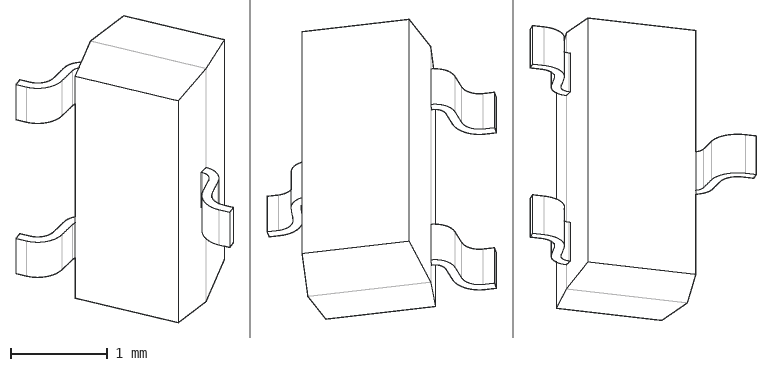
import cadquery as cq
import math

BODY_WIDTH = 1.3
BODY_LENGTH = 2.9
BACK_DEPTH = 0.682
FRONT_DEPTH = 0.568
DRAFT = 7.0

SPAN = 2.4
STANDOFF = 0.102
THICKNESS = 0.102
LEAD_WIDTH = 0.438
LEAD_PITCH = 1.915
LEG_ANGLE = 7.0
SHOULDER_RADIUS = 0.218
FOOT_RADIUS = 0.19


def body_half(depth):
    """Frustum growing from the parting plane; negative depth goes toward -Y."""
    sign = math.copysign(1, depth)
    plane = cq.Plane(origin=(0, 0, 0), xDir=(1, 0, 0), normal=(0, sign, 0))
    return cq.Workplane(plane).rect(BODY_WIDTH, BODY_LENGTH).extrude(abs(depth), taper=DRAFT)


def make_body():
    return body_half(BACK_DEPTH).union(body_half(-FRONT_DEPTH))


def arc_point(center, radius, angle):
    """Point on a circle in the X-Y plane; the angle is in degrees from +X."""
    turn = math.radians(angle)
    return (center[0] + radius * math.cos(turn), center[1] + radius * math.sin(turn))


def make_lead(z_center):
    """Lead on the +X side: shoulder bend, leaning leg, foot bend, foot."""
    lean = math.radians(LEG_ANGLE)
    root_x = BODY_WIDTH / 2
    tip_x = SPAN / 2
    foot_bottom = -FRONT_DEPTH - STANDOFF
    foot_top = foot_bottom + THICKNESS
    shoulder_inner = SHOULDER_RADIUS - THICKNESS
    foot_outer = FOOT_RADIUS + THICKNESS

    shoulder = (root_x, -SHOULDER_RADIUS)
    foot_y = foot_top + FOOT_RADIUS
    center_drop = shoulder[1] - foot_y
    radius_sum = SHOULDER_RADIUS + FOOT_RADIUS
    foot_x = shoulder[0] + radius_sum / math.cos(lean) + center_drop * math.tan(lean)
    foot = (foot_x, foot_y)

    shoulder_end = LEG_ANGLE
    shoulder_mid = (90 + shoulder_end) / 2
    foot_start = 180 + LEG_ANGLE
    foot_mid = (foot_start + 270) / 2

    root_inner = (root_x - THICKNESS * math.tan(math.radians(DRAFT)), -THICKNESS)

    profile = (
        cq.Workplane("XY", origin=(0, 0, z_center - LEAD_WIDTH / 2))
        .moveTo(root_x, 0)
        .threePointArc(
            arc_point(shoulder, SHOULDER_RADIUS, shoulder_mid),
            arc_point(shoulder, SHOULDER_RADIUS, shoulder_end),
        )
        .lineTo(*arc_point(foot, FOOT_RADIUS, foot_start))
        .threePointArc(
            arc_point(foot, FOOT_RADIUS, foot_mid),
            arc_point(foot, FOOT_RADIUS, 270),
        )
        .lineTo(tip_x, foot_top)
        .lineTo(tip_x, foot_bottom)
        .lineTo(*arc_point(foot, foot_outer, 270))
        .threePointArc(
            arc_point(foot, foot_outer, foot_mid),
            arc_point(foot, foot_outer, foot_start),
        )
        .lineTo(*arc_point(shoulder, shoulder_inner, shoulder_end))
        .threePointArc(
            arc_point(shoulder, shoulder_inner, shoulder_mid),
            arc_point(shoulder, shoulder_inner, 90),
        )
        .lineTo(*root_inner)
        .close()
    )
    return profile.extrude(LEAD_WIDTH)


body = make_body()

leads = [make_lead(0)]
for z_center in (-LEAD_PITCH / 2, LEAD_PITCH / 2):
    leads.append(make_lead(z_center).mirror("YZ"))

result = cq.Compound.makeCompound([body.val(), *[lead.val() for lead in leads]])